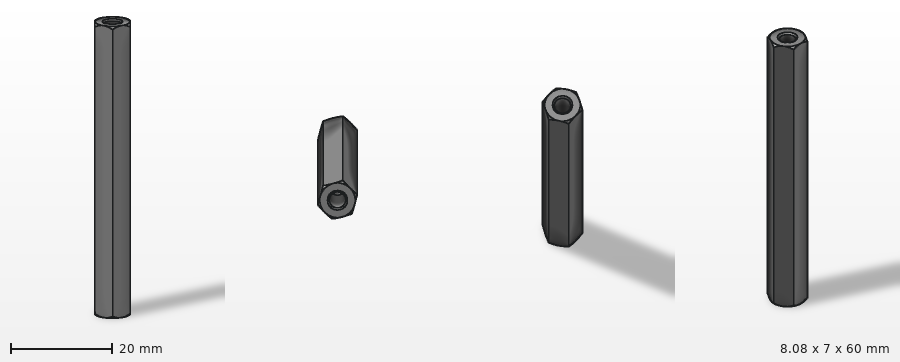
import cadquery as cq
import math

length = 60.0
across_flats = 7.0
across_corners = across_flats / math.cos(math.pi / 6)

end_face_radius = across_flats / 2
corner_angle = math.radians(45)
envelope_clearance = 0.6

bore_diameter = 3.25
bore_depth = 12.0
drill_point_angle = math.radians(118)
countersink_diameter = 3.95


def corner_turning_envelope():
    """Round bar with coned ends that trims the hexagon corners."""
    outer_radius = across_corners / 2 + envelope_clearance
    cone_height = (outer_radius - end_face_radius) * math.tan(corner_angle)
    profile = [
        (0, 0),
        (end_face_radius, 0),
        (outer_radius, cone_height),
        (outer_radius, length - cone_height),
        (end_face_radius, length),
        (0, length),
    ]
    return cq.Workplane("XZ").polyline(profile).close().revolve(360, (0, 0), (0, 1))


def top_bore():
    """Countersunk blind bore with a drill point, entering from the top face."""
    bore_radius = bore_diameter / 2
    countersink_radius = countersink_diameter / 2
    countersink_depth = countersink_radius - bore_radius
    bore_bottom = length - bore_depth
    point_height = bore_radius / math.tan(drill_point_angle / 2)
    profile = [
        (0, length),
        (countersink_radius, length),
        (bore_radius, length - countersink_depth),
        (bore_radius, bore_bottom),
        (0, bore_bottom - point_height),
    ]
    return cq.Workplane("XZ").polyline(profile).close().revolve(360, (0, 0), (0, 1))


hexagon = cq.Workplane("XY").polygon(6, across_corners).extrude(length)
upper_bore = top_bore()
lower_bore = upper_bore.mirror("XY", (0, 0, length / 2))

result = hexagon.intersect(corner_turning_envelope()).cut(upper_bore).cut(lower_bore)